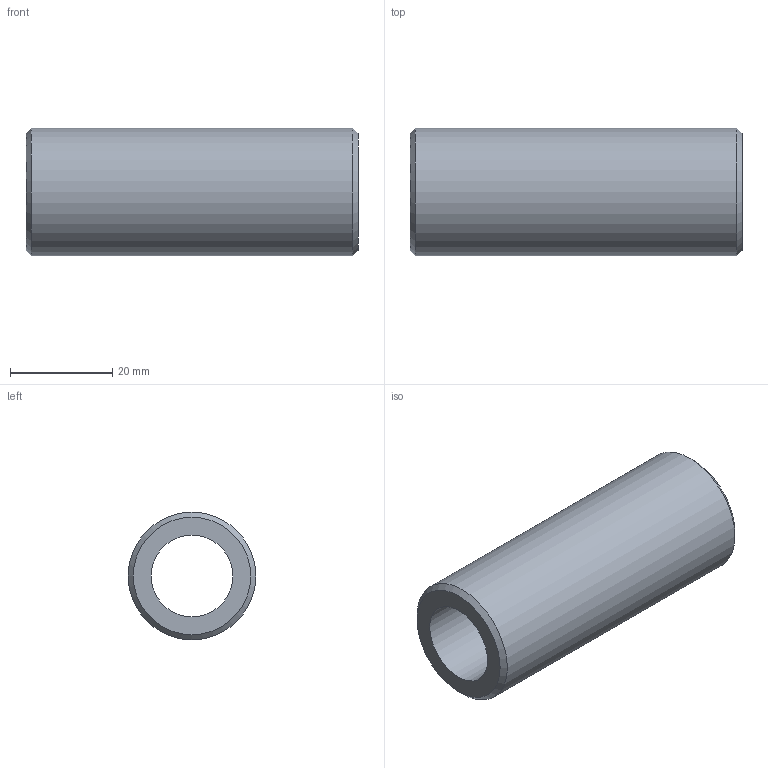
import cadquery as cq

length = 65.0
outer_diameter = 25.0
bore_diameter = 16.0
end_chamfer = 1.0


def axial_cylinder(diameter):
    """Full-length cylinder along X, centred on the origin."""
    end_plane = cq.Workplane("YZ", origin=(-length / 2, 0, 0))
    return end_plane.circle(diameter / 2).extrude(length)


def sleeve_body():
    """Solid outer cylinder with both end edges chamfered."""
    return axial_cylinder(outer_diameter).faces("<X or >X").edges().chamfer(end_chamfer)


result = sleeve_body().cut(axial_cylinder(bore_diameter))